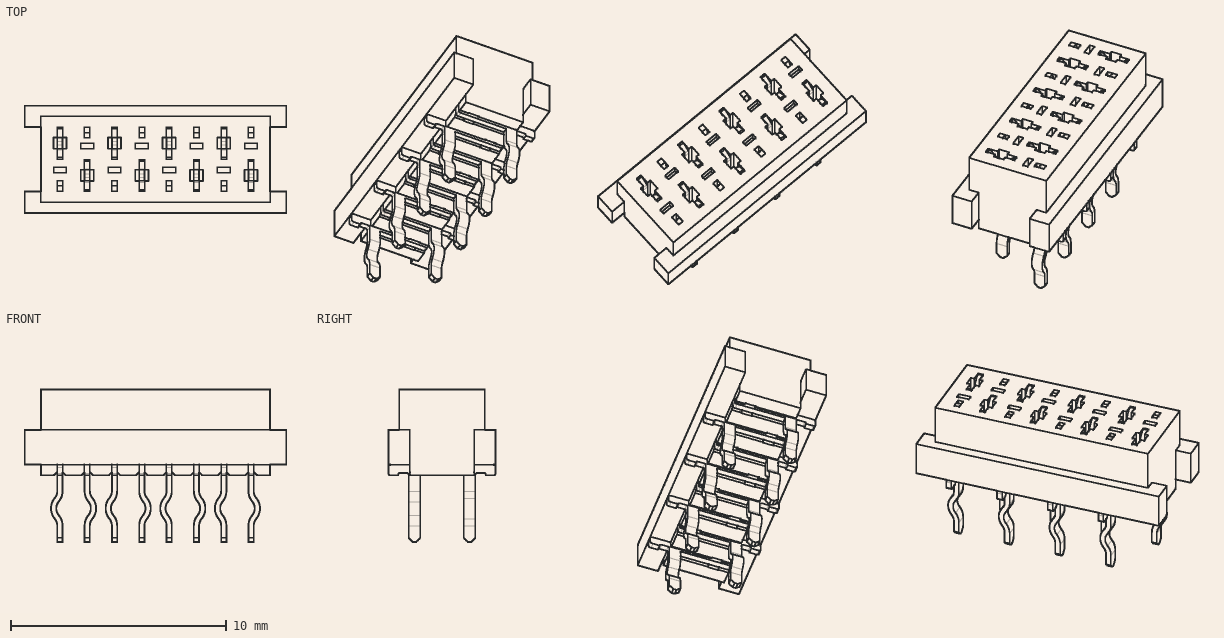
import cadquery as cq
import math

contact_count = 8
contact_span = 8.89
pitch = contact_span / (contact_count - 1)
thickness = 0.25

housing_length = 10.66
housing_height = 4.0
core_half_width = 1.5
upper_half_width = 2.0
rail_length = 12.16
rail_half_width = 5.0 / 2
rail_bottom = 0.5
rail_top = 2.12
slot_relief = 0.15

window_length = 0.6
window_width = 0.51
pocket_length = window_length
pocket_width = 0.24
pocket_depth = 0.49
front_pocket_y = -0.5
rear_pocket_y = 0.62

pin_outer = 1.56
pin_inner = 1.01
pin_length = 3.1
tip_chamfer = 0.2
wave_top = -0.73
wave_half_length = 0.8
wave_offset = 0.29

foot_inner = 2.03
foot_round = 0.11
notch_height = 0.11
notch_round = 0.07
leg_top_inner = 1.24
leg_taper_height = 1.02

fork_center = 0.75
fork_half_width = core_half_width - fork_center
fork_tip_half_width = 0.66
fork_taper_start = 0.73
fork_tip = housing_height
lead_in_angle = 47.0
throat_half_width = 0.25
throat_bottom = 0.97
throat_round = 0.18
lip_round = 0.23


def box(x_center, length, y_start, y_end, z_start, z_end):
    """A block centred on x_center along X, between the given Y and Z limits."""
    solid = cq.Workplane("XY").box(length, y_end - y_start, z_end - z_start)
    return solid.translate((x_center, (y_start + y_end) / 2, (z_start + z_end) / 2))


def contact_x(index):
    return index * pitch - contact_span / 2


def fork_side(index):
    """+1 where the fork is at +Y and the pin at -Y, -1 where they are swapped."""
    return 1 if index % 2 == 0 else -1


def contact_slot():
    """Room for one contact at X = 0, fork towards +Y."""
    base = box(0, thickness, -core_half_width, core_half_width, 0, rail_bottom)
    leg = box(0, thickness, -core_half_width, -pin_inner, 0, housing_height)
    fork = box(0, thickness, fork_center - fork_half_width, core_half_width, 0, housing_height)
    half = thickness / 2
    relief = (
        cq.Workplane("XZ", origin=(0, core_half_width, 0))
        .polyline([
            (-half - slot_relief, 0),
            (half + slot_relief, 0),
            (half, slot_relief),
            (-half, slot_relief),
        ])
        .close()
        .extrude(2 * core_half_width)
    )
    window_start = fork_center - window_width / 2
    window = box(0, window_length, window_start, window_start + window_width, 0, housing_height)
    return base.union(leg).union(fork).union(relief).union(window)


def pocket(index):
    y = front_pocket_y if fork_side(index) > 0 else rear_pocket_y
    return box(
        contact_x(index), pocket_length,
        y - pocket_width / 2, y + pocket_width / 2,
        housing_height - pocket_depth, housing_height,
    )


def place(shape, index):
    """Move a shape built at X = 0 to its grid position, turning every second one round."""
    if fork_side(index) < 0:
        shape = shape.rotate((0, 0, 0), (0, 0, 1), 180)
    return shape.translate((contact_x(index), 0, 0))


def make_housing():
    body = box(0, housing_length, -core_half_width, core_half_width, 0, housing_height)
    body = body.union(
        box(0, housing_length, -upper_half_width, upper_half_width, rail_bottom, housing_height)
    )
    for y_start, y_end in (
        (-rail_half_width, -core_half_width),
        (core_half_width, rail_half_width),
    ):
        body = body.union(box(0, rail_length, y_start, y_end, rail_bottom, rail_top))
    for index in range(contact_count):
        body = body.cut(place(contact_slot(), index)).cut(pocket(index))
    return body


def make_pin():
    """Strip that runs down, bulges towards -X in three tangent arcs and ends in a chamfered tip."""
    crest_z = wave_top - wave_half_length
    wave_bottom = crest_z - wave_half_length
    pin_center = -(pin_outer + pin_inner) / 2
    path = (
        cq.Workplane("XZ", origin=(0, pin_center, 0))
        .moveTo(0, notch_height)
        .lineTo(0, wave_top)
        .tangentArcPoint((-wave_offset / 2, wave_top - wave_half_length / 2), relative=False)
        .threePointArc((-wave_offset, crest_z), (-wave_offset / 2, crest_z - wave_half_length / 2))
        .tangentArcPoint((0, wave_bottom), relative=False)
        .lineTo(0, -pin_length)
    )
    strip = (
        cq.Workplane("XY", origin=(0, pin_center, notch_height))
        .rect(thickness, pin_outer - pin_inner)
        .sweep(path)
    )
    return strip.faces("<Z").edges("|X").chamfer(tip_chamfer)


def contact_plate(points):
    """Flat piece of the contact from an outline in the YZ plane."""
    return cq.Workplane("YZ", origin=(-thickness / 2, 0, 0)).polyline(points).close().extrude(thickness)


def make_fork():
    """Two tines that taper upwards, with sloped lead-ins above a round-bottomed throat."""
    lead_in_height = (fork_tip_half_width - throat_half_width) * math.tan(math.radians(lead_in_angle))
    throat_top = fork_tip - lead_in_height
    blank = contact_plate([
        (fork_center - fork_half_width, 0),
        (fork_center + fork_half_width, 0),
        (fork_center + fork_half_width, fork_taper_start),
        (fork_center + fork_tip_half_width, fork_tip),
        (fork_center - fork_tip_half_width, fork_tip),
        (fork_center - fork_half_width, fork_taper_start),
    ])
    throat = box(
        0, thickness,
        fork_center - throat_half_width, fork_center + throat_half_width,
        throat_bottom, fork_tip,
    )
    throat = throat.faces("<Z").edges("|X").fillet(throat_round)
    lead_in = contact_plate([
        (fork_center - throat_half_width, throat_top),
        (fork_center + throat_half_width, throat_top),
        (fork_center + fork_tip_half_width, fork_tip),
        (fork_center - fork_tip_half_width, fork_tip),
    ])
    fork = blank.cut(throat).cut(lead_in)
    lip_corners = cq.selectors.BoxSelector(
        (-thickness, fork_center - fork_tip_half_width, throat_top - lip_round),
        (thickness, fork_center + fork_tip_half_width, throat_top + lip_round),
    )
    fork = fork.edges("|X").edges(lip_corners).fillet(lip_round)
    return fork.edges("|X").edges(">Y and <Z").fillet(foot_round)


def make_base():
    """Bar along the underside, from the foot below the rail to the far wall of the core."""
    bar = box(0, thickness, -rail_half_width, core_half_width, 0, rail_bottom)
    bar = bar.edges("|X").edges("<Y or (>Y and <Z)").fillet(foot_round)
    notch = box(0, thickness, -foot_inner, -pin_outer, 0, notch_height)
    notch = notch.faces(">Z").edges("|X").fillet(notch_round)
    return bar.cut(notch)


def make_leg():
    """Upright above the pin, with a sloped inner edge at its top."""
    return contact_plate([
        (-core_half_width, 0),
        (-pin_inner, 0),
        (-pin_inner, housing_height - leg_taper_height),
        (-leg_top_inner, housing_height),
        (-core_half_width, housing_height),
    ])


def make_contact(index):
    contact = make_base().union(make_leg()).union(make_pin()).union(make_fork())
    return place(contact, index)


housing = make_housing()
contacts = [make_contact(index) for index in range(contact_count)]

result = cq.Compound.makeCompound([housing.val(), *[contact.val() for contact in contacts]])